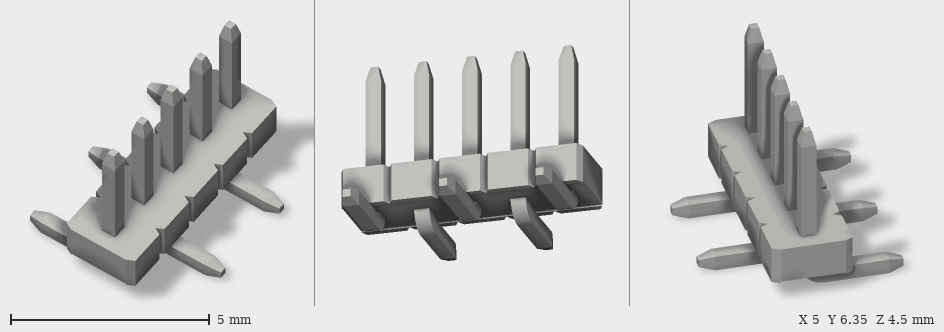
import cadquery as cq

pin_count = 5
pitch = 1.27

pin_width = 0.4
tip_width = 0.205
tip_length = 0.4
pin_top = 4.5
tail_reach = 5.0 / 2
bend_inner_radius = pin_width / 2
bend_radius = bend_inner_radius + pin_width / 2

block_width = 2.115
block_bottom = 0.45
block_height = 1.0
chamfer_x = 0.21
chamfer_y = 0.11
relief_depth = 0.04
relief_width = block_width - 2 * chamfer_x


def make_tip(base_plane):
    """Four-sided taper that starts on the base plane and grows along its normal."""
    return (
        cq.Workplane(base_plane)
        .rect(pin_width, pin_width)
        .workplane(offset=tip_length)
        .rect(tip_width, tip_width)
        .loft()
    )


def make_pin():
    """Pin with its post on the Z axis and its tail pointing to -X."""
    tail_z = pin_width / 2
    post_shoulder = (0, pin_top - tip_length)
    tail_shoulder = (tip_length - tail_reach, tail_z)

    centre_line = (
        cq.Workplane("XZ")
        .moveTo(*post_shoulder)
        .lineTo(0, tail_z + bend_radius)
        .tangentArcPoint((-bend_radius, tail_z), relative=False)
        .lineTo(*tail_shoulder)
    )
    post_plane = cq.Plane(origin=(0, 0, post_shoulder[1]), xDir=(1, 0, 0), normal=(0, 0, 1))
    tail_plane = cq.Plane(origin=(tail_shoulder[0], 0, tail_z), xDir=(0, 1, 0), normal=(-1, 0, 0))

    wire = cq.Workplane(post_plane).rect(pin_width, pin_width).sweep(centre_line)
    return wire.union(make_tip(post_plane)).union(make_tip(tail_plane))


def make_block(pin):
    """Housing block with chamfered corners, a relief underneath and a hole that fits the pin."""
    half_x = block_width / 2
    half_y = pitch / 2
    outline = [
        (half_x, half_y - chamfer_y),
        (half_x - chamfer_x, half_y),
        (chamfer_x - half_x, half_y),
        (-half_x, half_y - chamfer_y),
        (-half_x, chamfer_y - half_y),
        (chamfer_x - half_x, -half_y),
        (half_x - chamfer_x, -half_y),
        (half_x, chamfer_y - half_y),
    ]
    block = cq.Workplane("XY").workplane(offset=block_bottom).polyline(outline).close().extrude(block_height)
    relief = (
        cq.Workplane("XY")
        .workplane(offset=block_bottom)
        .rect(relief_width, pitch)
        .extrude(relief_depth)
    )
    return block.cut(relief).cut(pin)


left_pin = make_pin()
right_pin = left_pin.mirror("YZ")

pins = []
blocks = []
for index in range(pin_count):
    row_place = (0, (index - (pin_count - 1) / 2) * pitch, 0)
    pin = left_pin if index % 2 == 0 else right_pin
    pins.append(pin.translate(row_place).solids().val())
    blocks.append(make_block(pin).translate(row_place).solids().val())

result = cq.Compound.makeCompound([*blocks, *pins])